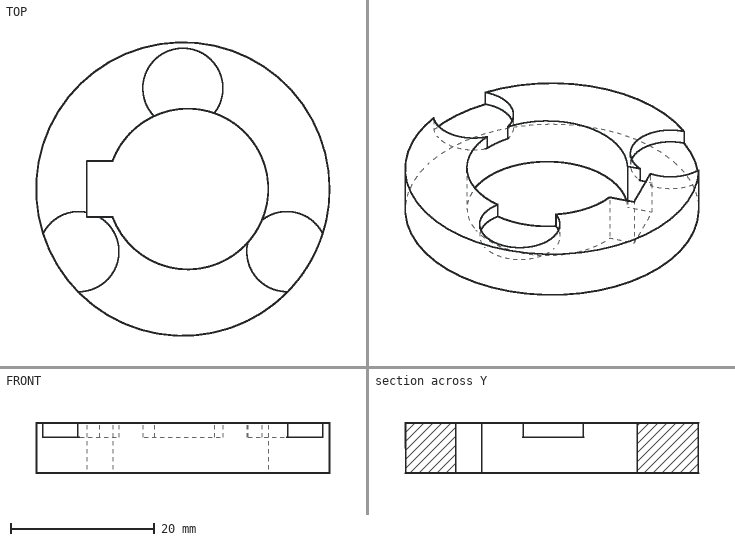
import cadquery as cq

outer_diameter = 41.0
thickness = 7.0
bore_diameter = 22.43
bore_offset_x = 0.7

keyway_width = 7.8
keyway_floor_x = -13.4

pocket_diameter = 11.2
pocket_depth = 2.0
rear_pocket_y = 14.05
front_pocket_x = 14.5
front_pocket_y = -8.75
pocket_centers = [
    (0, rear_pocket_y),
    (-front_pocket_x, front_pocket_y),
    (front_pocket_x, front_pocket_y),
]


def make_ring():
    """Disc with the bore shifted toward +X."""
    disc = cq.Workplane("XY").circle(outer_diameter / 2).extrude(thickness)
    bore = (
        cq.Workplane("XY")
        .center(bore_offset_x, 0)
        .circle(bore_diameter / 2)
        .extrude(thickness)
    )
    return disc.cut(bore)


def make_keyway():
    """Through-thickness slot from the keyway floor to the bore center."""
    length = bore_offset_x - keyway_floor_x
    return (
        cq.Workplane("XY")
        .center(keyway_floor_x + length / 2, 0)
        .rect(length, keyway_width)
        .extrude(thickness)
    )


def make_pocket(center):
    """Round cutter reaching down from the top face."""
    return (
        cq.Workplane("XY", origin=(0, 0, thickness))
        .center(*center)
        .circle(pocket_diameter / 2)
        .extrude(-pocket_depth)
    )


result = make_ring().cut(make_keyway())
for pocket_center in pocket_centers:
    result = result.cut(make_pocket(pocket_center))